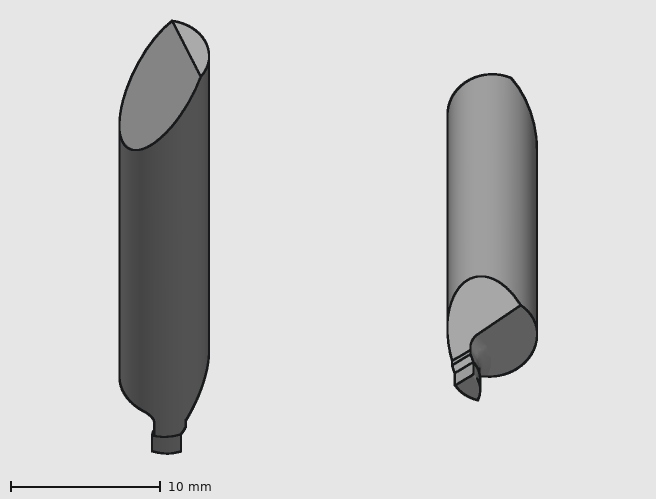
import cadquery as cq
import math

BAR_DIAMETER = 6.0
BAR_RADIUS = BAR_DIAMETER / 2
BAR_LENGTH = 40.0
REACH = 2 * BAR_DIAMETER

SLOPE = math.tan(math.radians(60))
TOP_FLAT_Y = 1.6
BACK_SLOPE_BASE = 2.7

TIP_HEIGHT = 2.0
NECK_FACE_X = 1.5
NECK_FLAT_END_Y = -0.3
NECK_HEEL_RADIUS = 1.55
TIP_HEEL_RADIUS = 1.83
NECK_BACK_Y = 0.35

SHOULDER_HEIGHT = 4.08
SHOULDER_EDGE_Y = (SHOULDER_HEIGHT - BACK_SLOPE_BASE) / SLOPE
SHOULDER_SIDE_TILT = 4.0
FRONT_RELIEF = 8.0
SHOULDER_FILLET = 0.9
TIP_CORNER_RADIUS = 0.15


def bar(bottom, top):
    return cq.Workplane("XY").workplane(offset=bottom).circle(BAR_RADIUS).extrude(top - bottom)


def yz_prism(points):
    """Prism across the whole bar from (Y, Z) outline points."""
    return cq.Workplane("YZ").polyline(points).close().extrude(BAR_DIAMETER, both=True)


def column(heel_radius, bottom, top):
    """Quadrant blank with a flat -X side and a rounded heel leading into the -Y side."""
    diagonal = heel_radius * (1 - math.sqrt(0.5))
    heel_y = NECK_FLAT_END_Y - heel_radius
    return (
        cq.Workplane("XY")
        .workplane(offset=bottom)
        .moveTo(NECK_FACE_X, REACH)
        .lineTo(NECK_FACE_X, NECK_FLAT_END_Y)
        .threePointArc(
            (NECK_FACE_X + diagonal, heel_y + diagonal),
            (NECK_FACE_X + heel_radius, heel_y),
        )
        .lineTo(REACH, heel_y)
        .lineTo(REACH, REACH)
        .close()
        .extrude(top - bottom)
    )


def tilted_block(point, height):
    """Block whose underside passes through the point, falling toward +X and rising toward -Y."""
    normal = (math.tan(math.radians(SHOULDER_SIDE_TILT)), math.tan(math.radians(FRONT_RELIEF)), 1)
    underside = cq.Plane(origin=point, xDir=(1, 0, -normal[0]), normal=normal)
    return cq.Workplane(underside).rect(4 * REACH, 4 * REACH).extrude(height)


def make_shank():
    neck = column(NECK_HEEL_RADIUS, TIP_HEIGHT, SHOULDER_HEIGHT + BAR_DIAMETER)
    shoulder_point = (0, SHOULDER_EDGE_Y, SHOULDER_HEIGHT)
    thick_part = tilted_block(shoulder_point, 2 * BAR_LENGTH)
    blank = thick_part.union(neck)
    corner_zone = cq.selectors.BoxSelector(
        (0, -BAR_DIAMETER, TIP_HEIGHT + SHOULDER_FILLET),
        (REACH, REACH, SHOULDER_HEIGHT + BAR_RADIUS),
    )
    blank = blank.edges("not(|Z)").edges(corner_zone).fillet(SHOULDER_FILLET)
    shank = bar(TIP_HEIGHT, BAR_LENGTH).intersect(blank)

    front_y = -BAR_DIAMETER
    top_slant = [
        (TOP_FLAT_Y, BAR_LENGTH),
        (front_y, BAR_LENGTH),
        (front_y, BAR_LENGTH - (TOP_FLAT_Y - front_y) * SLOPE),
    ]

    back_y = BAR_DIAMETER
    back_slant = [
        (back_y, BACK_SLOPE_BASE + back_y * SLOPE),
        (NECK_BACK_Y, BACK_SLOPE_BASE + NECK_BACK_Y * SLOPE),
        (NECK_BACK_Y, TIP_HEIGHT + NECK_BACK_Y * SLOPE),
        (0, TIP_HEIGHT),
        (back_y, TIP_HEIGHT),
    ]
    return shank.cut(yz_prism(top_slant)).cut(yz_prism(back_slant))


def make_tip():
    blank = bar(0, TIP_HEIGHT).intersect(column(TIP_HEEL_RADIUS, 0, TIP_HEIGHT))
    front_half = (
        cq.Workplane("XY")
        .rect(BAR_DIAMETER, -BAR_RADIUS, centered=(True, False))
        .extrude(TIP_HEIGHT)
    )
    relief_angle = math.radians(FRONT_RELIEF)
    relief_face = cq.Plane(
        origin=(NECK_FACE_X, 0, 0),
        xDir=(1, 0, 0),
        normal=(0, -math.cos(relief_angle), math.sin(relief_angle)),
    )
    relief = (
        cq.Workplane(relief_face)
        .rect(BAR_RADIUS - NECK_FACE_X, BAR_DIAMETER, centered=False)
        .extrude(BAR_DIAMETER, both=True)
        .edges(cq.selectors.ParallelDirSelector(relief_face.zDir))
        .fillet(TIP_CORNER_RADIUS)
    )
    return blank.intersect(front_half).intersect(relief)


shank = make_shank()
tip = make_tip()

result = cq.Compound.makeCompound([shank.val(), tip.val()])